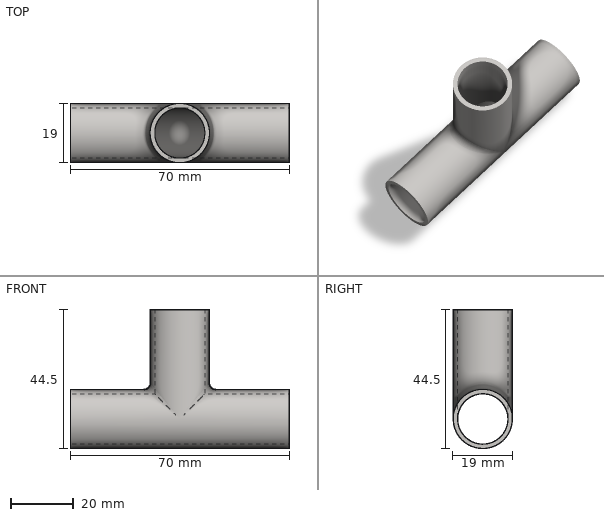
import cadquery as cq

run_length = 70.0
outer_diameter = 19.0
inner_diameter = 16.0
branch_height = run_length / 2
fillet_radius = 2.0


def tee(diameter):
    """Solid tee with both cylinders of the given diameter, axes meeting at the origin."""
    run = cq.Workplane("YZ").circle(diameter / 2).extrude(run_length / 2, both=True)
    branch = cq.Workplane("XY").circle(diameter / 2).extrude(branch_height)
    return run.union(branch)


half_space = cq.Workplane("XY").box(
    run_length, 2 * outer_diameter, 2 * run_length, centered=(False, True, True)
)
half_body = tee(outer_diameter).intersect(half_space)
half_body = half_body.edges("%ELLIPSE").fillet(fillet_radius)
body = half_body.union(half_body.mirror("YZ"))

result = body.cut(tee(inner_diameter))